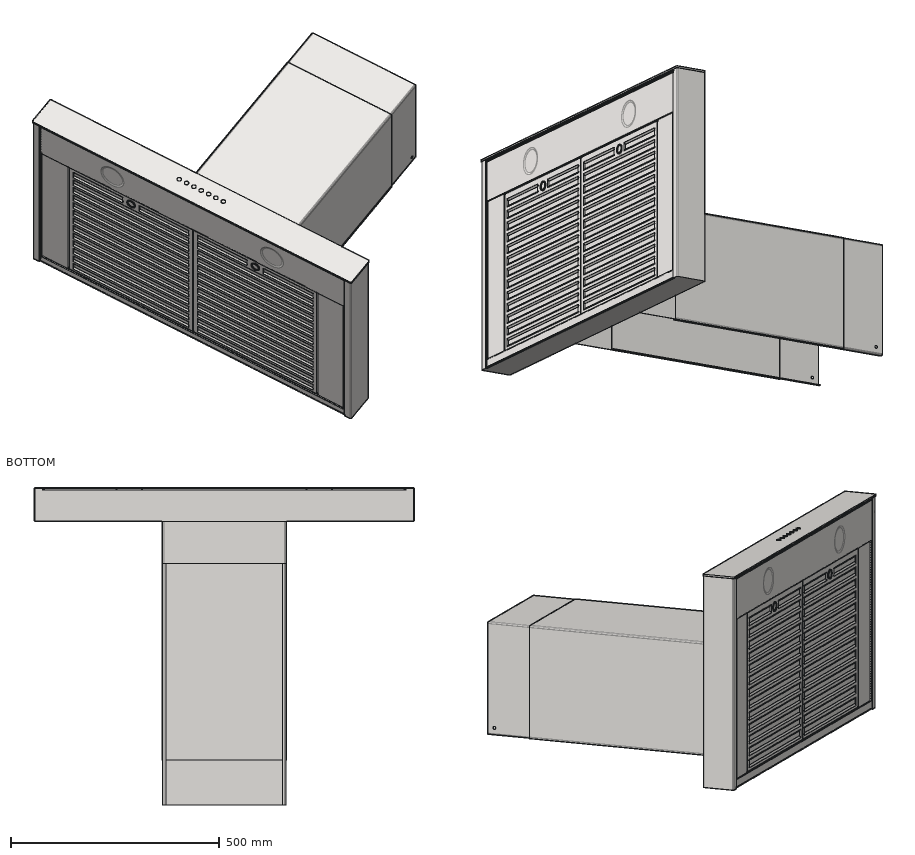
import cadquery as cq

overall_width = 913.0
overall_depth = 763.0
overall_height = 528.0

lid_thickness = 5.0
lid_overhang = 2.0
lid_corner_radius = 4.0
hood_back = 81.0
hood_width = overall_width - 2 * lid_overhang
hood_height = overall_height - lid_thickness
hood_front = lid_overhang
hood_edge_radius = 3.0

panel_groove = 3.0
panel_groove_depth = 3.0
panel_width = 868.5
panel_top = 518.0
panel_recess = 1.0
panel_y = hood_front + panel_recess

well_width = 863.0
well_bottom = 22.0
well_top = 418.0
well_recess = 4.0
well_y = panel_y + well_recess

lamp_spacing = 457.0
lamp_z = 467.0
lamp_radius = 33.0
lamp_lens_radius = 28.0
lamp_depth = 1.4

button_count = 7
button_pitch = 21.0
button_y = 43.0
button_radius = 5.5
button_depth = 1.0

filter_width = 352.5
filter_gap = 3.0
filter_side_gap = 4.0
filter_thickness = 14.0
filter_bottom = 24.0
filter_height = 393.0
filter_centre = (filter_width + filter_gap) / 2
pocket_width = 2 * filter_width + filter_gap + 2 * filter_side_gap

slot_count = 13
slot_pitch = 29.0
slot_length = 331.0
slot_height = 21.0
slot_floor_height = 12.0
slot_depth = 4.0
top_slot_z = 392.0
lowest_slot_z = top_slot_z - (slot_count - 1) * slot_pitch

latch_break = 47.0
latch_radius = 12.0
latch_knob_radius = 9.0
latch_depth = 2.0

sheet = 1.0
outer_width = 299.5
outer_height = 279.0
outer_back = 654.0
inner_width = outer_width - 2 * sheet
inner_height = outer_height - sheet
inner_front = 183.0
outer_bend_radius = 5.0
inner_bend_radius = outer_bend_radius - sheet
flange_width = 9.0

screw_radius = 3.2
screw_setback = 17.0
screw_y = overall_depth - screw_setback
screw_z = 18.0


def block(width, y_front, y_back, z_bottom, z_top, x_centre=0.0):
    """A box centred on x_centre that spans the given Y and Z ranges."""
    size = (width, y_back - y_front, z_top - z_bottom)
    base_point = (x_centre, y_front, z_bottom)
    return cq.Workplane("XY").box(*size, centered=(True, False, False)).translate(base_point)


def front_disc(x, z, radius, y_front, depth):
    """A disc facing -Y whose front face is at y_front."""
    return cq.Workplane("XZ", origin=(x, y_front, z)).circle(radius).extrude(-depth)


def lamp_recess(x):
    """Conical recess of one lamp, narrowing to its lens."""
    return (
        cq.Workplane("XZ", origin=(x, panel_y, lamp_z))
        .circle(lamp_radius)
        .workplane(offset=-lamp_depth)
        .circle(lamp_lens_radius)
        .loft()
    )


def make_hood():
    body = block(hood_width, hood_front, hood_back, 0, hood_height)
    body = body.edges("|Z").fillet(hood_edge_radius)

    lid = block(overall_width, 0, hood_back, hood_height, overall_height)
    lid = lid.edges("|Z").fillet(lid_corner_radius)

    opening_width = panel_width + 2 * panel_groove
    opening_top = panel_top + panel_groove
    groove_y = panel_y + panel_groove_depth
    body = body.cut(block(opening_width, hood_front, groove_y, 0, opening_top))
    body = body.union(block(panel_width, panel_y, groove_y, panel_groove, panel_top))
    body = body.cut(block(well_width, panel_y, well_y, well_bottom, well_top))
    filter_top = filter_bottom + filter_height
    body = body.cut(block(pocket_width, well_y, well_y + filter_thickness, filter_bottom, filter_top))
    for side in (-1, 1):
        body = body.cut(lamp_recess(side * lamp_spacing / 2))

    buttons = (
        cq.Workplane("XY", origin=(0, button_y, overall_height))
        .rarray(button_pitch, 9, button_count, 1)
        .circle(button_radius)
        .extrude(-button_depth)
    )
    return body.union(lid).cut(buttons)


def slot(x_centre, z_centre, length):
    """Cutter for one filter slot: a trapezoid in the YZ plane, swept along X."""
    half_mouth = slot_height / 2
    half_floor = slot_floor_height / 2
    floor_y = well_y + slot_depth
    return (
        cq.Workplane("YZ", origin=(x_centre - length / 2, 0, z_centre))
        .moveTo(well_y, -half_mouth)
        .lineTo(floor_y, -half_floor)
        .lineTo(floor_y, half_floor)
        .lineTo(well_y, half_mouth)
        .close()
        .extrude(length)
    )


def make_filter(x_centre):
    y_back = well_y + filter_thickness
    body = block(filter_width, well_y, y_back, filter_bottom, filter_bottom + filter_height, x_centre)
    for row in range(slot_count - 1):
        body = body.cut(slot(x_centre, lowest_slot_z + row * slot_pitch, slot_length))

    half_slot = (slot_length - latch_break) / 2
    for side in (-1, 1):
        x_half = x_centre + side * (latch_break + half_slot) / 2
        body = body.cut(slot(x_half, top_slot_z, half_slot))

    latch_groove = front_disc(x_centre, top_slot_z, latch_radius, well_y, latch_depth)
    latch_knob = front_disc(x_centre, top_slot_z, latch_knob_radius, well_y, latch_depth)
    return body.cut(latch_groove.cut(latch_knob))


def rounded_bar(width, y_front, y_back, z_bottom, z_top, radius, bent_edges):
    """A bar along Y with the selected long edges rounded."""
    return block(width, y_front, y_back, z_bottom, z_top).edges(bent_edges).fillet(radius)


def make_outer_cover():
    """Sheet channel with a top and two sides."""
    top_edges = "|Y and >Z"
    outside = rounded_bar(outer_width, hood_back, outer_back, 0, outer_height, outer_bend_radius, top_edges)
    inside = rounded_bar(inner_width, hood_back, outer_back, 0, inner_height, inner_bend_radius, top_edges)
    return outside.cut(inside)


def make_inner_cover():
    """Sheet channel that slides in the outer cover, with its sides turned inwards at the bottom."""
    hollow_width = inner_width - 2 * sheet
    hollow_top = inner_height - sheet
    hollow_radius = inner_bend_radius - sheet
    outside = rounded_bar(inner_width, inner_front, overall_depth, 0, inner_height, inner_bend_radius, "|Y")
    hollow = rounded_bar(hollow_width, inner_front, overall_depth, sheet, hollow_top, hollow_radius, "|Y")
    mouth = block(inner_width - 2 * flange_width, inner_front, overall_depth, 0, sheet)
    screw_holes = (
        cq.Workplane("YZ", origin=(-inner_width / 2, screw_y, screw_z))
        .circle(screw_radius)
        .extrude(inner_width)
    )
    return outside.cut(hollow).cut(mouth).cut(screw_holes)


hood = make_hood()
filters = [make_filter(side * filter_centre) for side in (-1, 1)]
outer_cover = make_outer_cover()
inner_cover = make_inner_cover()

result = cq.Compound.makeCompound(
    [hood.val(), *[grease_filter.val() for grease_filter in filters], outer_cover.val(), inner_cover.val()]
)